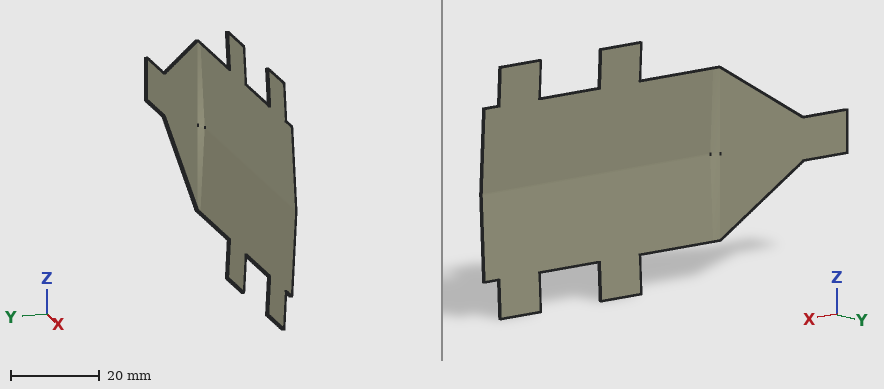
import cadquery as cq

length = 108.5
total_height = 58.0
total_depth = 2.0
sheet = 0.5

nose_length = 13.0
nose_height = 10.0
taper_end = 38.0
roof_start = 40.0
body_height = 40.0

ridge_width = 0.3
slope = (total_depth - sheet) / ((total_height - ridge_width) / 2)

tab_width = 12.0
tab_starts = (62.0, 92.0)


def roof_depth(z):
    """Y of the front face of the folded sheet at height z from the ridge."""
    return slope * max(abs(z) - ridge_width / 2, 0)


def folded_section(height):
    """Closed (Y, Z) points of the folded sheet, ridge at Y = 0."""
    levels = (-height / 2, -ridge_width / 2, ridge_width / 2, height / 2)
    front = [(roof_depth(z), z) for z in levels]
    back = [(y + sheet, z) for y, z in reversed(front)]
    return front + back


edge_y = roof_depth(body_height / 2)


def flat_section():
    """The body section unfolded onto the plane of its outer edges."""
    levels = [z for _, z in folded_section(body_height)]
    middle = len(levels) // 2
    front = [(edge_y, z) for z in levels[:middle]]
    back = [(edge_y + sheet, z) for z in levels[middle:]]
    return front + back


def fold(start, width, height):
    return (
        cq.Workplane("YZ", origin=(start, 0, 0))
        .polyline(folded_section(height))
        .close()
        .extrude(width)
    )


nose = (
    cq.Workplane("XZ", origin=(0, edge_y, 0))
    .polyline([
        (0, -nose_height / 2),
        (nose_length, -nose_height / 2),
        (taper_end, -body_height / 2),
        (taper_end, body_height / 2),
        (nose_length, nose_height / 2),
        (0, nose_height / 2),
    ])
    .close()
    .extrude(-sheet)
)

transition = (
    cq.Workplane("YZ", origin=(taper_end, 0, 0))
    .polyline(flat_section())
    .close()
    .workplane(offset=roof_start - taper_end)
    .polyline(folded_section(body_height))
    .close()
    .loft(ruled=True)
)

result = nose.union(transition).union(fold(roof_start, length - roof_start, body_height))

for start in tab_starts:
    result = result.union(fold(start, tab_width, total_height))